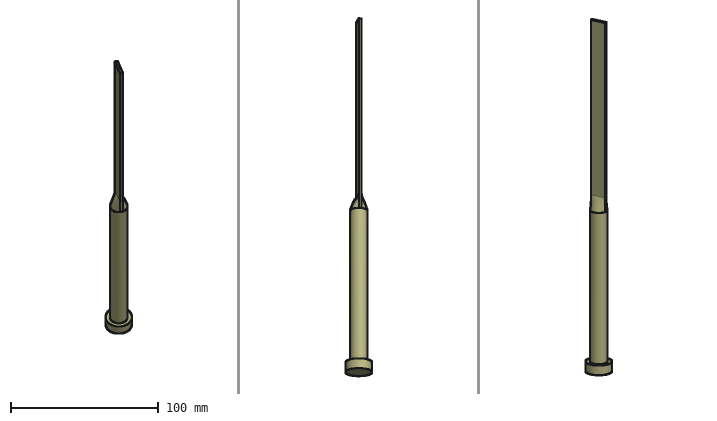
import cadquery as cq

total_length = 250.0
head_diameter = 18.0
head_height = 7.0
shaft_diameter = 12.0
blade_width = 11.8
blade_thickness = 2.0
blade_length = 125.0
transition_length = 10.0
transition_mid_bulge = 4.2

blade_start = total_length - blade_length
shaft_top = blade_start - transition_length
transition_middle = shaft_top + transition_length / 2

half_width = blade_width / 2
half_thickness = blade_thickness / 2


def bulged_section(level, half_depth):
    """Section with two flat sides as thick as the blade, and arched front and back."""
    return (
        cq.Workplane("XY", origin=(0, 0, level))
        .moveTo(-half_width, -half_thickness)
        .threePointArc((0, -half_depth), (half_width, -half_thickness))
        .lineTo(half_width, half_thickness)
        .threePointArc((0, half_depth), (-half_width, half_thickness))
        .close()
        .wires()
        .val()
    )


def blade_section(level):
    """Rectangular section of the blade."""
    return (
        cq.Workplane("XY", origin=(0, 0, level))
        .moveTo(-half_width, -half_thickness)
        .lineTo(half_width, -half_thickness)
        .lineTo(half_width, half_thickness)
        .lineTo(-half_width, half_thickness)
        .close()
        .wires()
        .val()
    )


head = cq.Workplane("XY").circle(head_diameter / 2).extrude(head_height)
shaft = cq.Workplane("XY").circle(shaft_diameter / 2).extrude(shaft_top)

transition = cq.Workplane(
    cq.Solid.makeLoft(
        [
            bulged_section(shaft_top, shaft_diameter / 2),
            bulged_section(transition_middle, transition_mid_bulge),
            blade_section(blade_start),
        ]
    )
)

blade = (
    cq.Workplane("XY", origin=(0, 0, blade_start))
    .rect(blade_width, blade_thickness)
    .extrude(blade_length)
)

result = head.union(shaft).union(transition).union(blade)